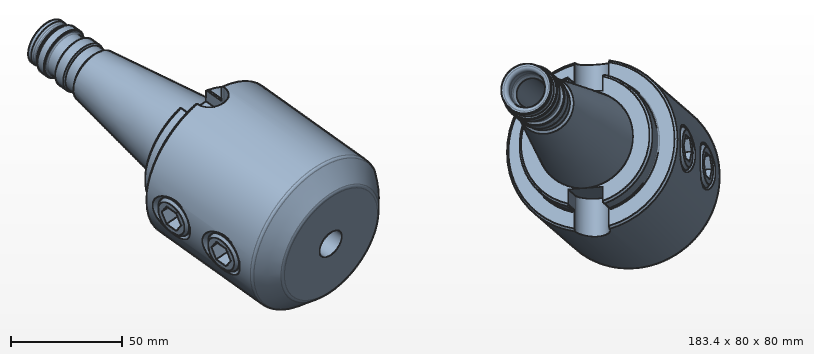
import cadquery as cq
import math

LENGTH = 183.4

LIP_RADIUS = 11.5
LIP_END = 2.0
LIP_GROOVE_RADIUS = 11.0
LIP_GROOVE_FLOOR_START = 3.0
LIP_GROOVE_FLOOR_END = 4.0
LIP_GROOVE_END = 5.5
COLLAR_RADIUS = 12.7
FRONT_COLLAR_START = 6.8
FRONT_COLLAR_END = 11.5
WAIST_RADIUS = 11.0
NOSE_FILLET = 0.5
REAR_COLLAR_START = 18.3
REAR_COLLAR_END = 24.5
COLLAR_CHAMFER = 0.4
NECK_RADIUS = 12.0
NECK_END = 29.9

TAPER_START = 31.0
TAPER_END = 93.5
TAPER_LARGE_RADIUS = 22.4
TAPER_SLOPE = 7 / 48
TAPER_SMALL_RADIUS = TAPER_LARGE_RADIUS - TAPER_SLOPE * (TAPER_END - TAPER_START)

FLANGE_START = 94.6
FLANGE_RADIUS = 31.2
BODY_START = 104.5
BODY_RADIUS = 40.0
EDGE_CHAMFER = 1.1
FLANGE_FILLET = 0.5
END_CHAMFER = 9.9
END_BLEND_RADIUS = 2.2

SLOT_WIDTH = 16.1
SLOT_FLOOR = TAPER_LARGE_RADIUS
SLOT_ROUND_CENTER_X = 106.0
SLOT_EDGE_CHAMFER = 0.7

FLAT_Y = 36.7
FLAT_RAMP_END = 131.9
FLAT_RAMP = BODY_RADIUS - FLAT_Y

BORE_RADIUS = 7.0
COUNTERBORE_RADIUS = 8.5
COUNTERBORE_DEPTH = 5.7
BORE_BLEND_RADIUS = 2.5
BORE_CONE_ANGLE = math.radians(30)
MOUTH_RADIUS = 2.0

SCREW_POSITIONS = (121.8, 153.9)
SCREW_RADIUS = 9.9
SCREW_LENGTH = 20.0
SCREW_CHAMFER = 1.5
COUNTERSINK_RADIUS = 12.1
COUNTERSINK_DEPTH = COUNTERSINK_RADIUS - SCREW_RADIUS
SOCKET_FLATS = 10.8
SOCKET_DEPTH = 9.2
SOCKET_TURN = 30


def revolve_about_x(profile):
    """Close an open half profile along the X axis and turn it into a solid."""
    return profile.close().revolve(360, (0, 0, 0), (1, 0, 0))


def flank_radius(run):
    """Radius of a lip groove flank of the given run, tangent to the groove floor."""
    rise = LIP_RADIUS - LIP_GROOVE_RADIUS
    return (run**2 + rise**2) / (2 * rise)


def make_blank():
    """Turned outer shape, before any milling or drilling."""
    profile = (
        cq.Workplane("XY")
        .lineTo(0, LIP_RADIUS)
        .lineTo(LIP_END, LIP_RADIUS)
        .radiusArc(
            (LIP_GROOVE_FLOOR_START, LIP_GROOVE_RADIUS),
            -flank_radius(LIP_GROOVE_FLOOR_START - LIP_END),
        )
        .lineTo(LIP_GROOVE_FLOOR_END, LIP_GROOVE_RADIUS)
        .radiusArc(
            (LIP_GROOVE_END, LIP_RADIUS),
            -flank_radius(LIP_GROOVE_END - LIP_GROOVE_FLOOR_END),
        )
        .lineTo(FRONT_COLLAR_START - NOSE_FILLET, LIP_RADIUS)
        .radiusArc((FRONT_COLLAR_START, LIP_RADIUS + NOSE_FILLET), -NOSE_FILLET)
        .lineTo(FRONT_COLLAR_START, COLLAR_RADIUS - COLLAR_CHAMFER)
        .lineTo(FRONT_COLLAR_START + COLLAR_CHAMFER, COLLAR_RADIUS)
        .lineTo(FRONT_COLLAR_END - COLLAR_CHAMFER, COLLAR_RADIUS)
        .lineTo(FRONT_COLLAR_END, COLLAR_RADIUS - COLLAR_CHAMFER)
        .lineTo(FRONT_COLLAR_END, WAIST_RADIUS + NOSE_FILLET)
        .radiusArc((FRONT_COLLAR_END + NOSE_FILLET, WAIST_RADIUS), -NOSE_FILLET)
        .lineTo(REAR_COLLAR_START - NOSE_FILLET, WAIST_RADIUS)
        .radiusArc((REAR_COLLAR_START, WAIST_RADIUS + NOSE_FILLET), -NOSE_FILLET)
        .lineTo(REAR_COLLAR_START, COLLAR_RADIUS - COLLAR_CHAMFER)
        .lineTo(REAR_COLLAR_START + COLLAR_CHAMFER, COLLAR_RADIUS)
        .lineTo(REAR_COLLAR_END - (COLLAR_RADIUS - NECK_RADIUS), COLLAR_RADIUS)
        .lineTo(REAR_COLLAR_END, NECK_RADIUS)
        .lineTo(NECK_END, NECK_RADIUS)
        .lineTo(TAPER_START, TAPER_SMALL_RADIUS)
        .lineTo(TAPER_END, TAPER_LARGE_RADIUS)
        .lineTo(FLANGE_START, TAPER_LARGE_RADIUS)
        .lineTo(FLANGE_START, FLANGE_RADIUS - EDGE_CHAMFER)
        .lineTo(FLANGE_START + EDGE_CHAMFER, FLANGE_RADIUS)
        .lineTo(BODY_START - FLANGE_FILLET, FLANGE_RADIUS)
        .radiusArc((BODY_START, FLANGE_RADIUS + FLANGE_FILLET), -FLANGE_FILLET)
        .lineTo(BODY_START, BODY_RADIUS - EDGE_CHAMFER)
        .lineTo(BODY_START + EDGE_CHAMFER, BODY_RADIUS)
    )
    chamfer_angle = math.radians(45)
    blend_run = END_BLEND_RADIUS * math.tan(chamfer_angle / 2)
    blend_step = blend_run * math.cos(chamfer_angle)
    corner_x = LENGTH - END_CHAMFER
    end_radius = BODY_RADIUS - END_CHAMFER
    profile = (
        profile
        .lineTo(corner_x - blend_run, BODY_RADIUS)
        .radiusArc((corner_x + blend_step, BODY_RADIUS - blend_step), END_BLEND_RADIUS)
        .lineTo(LENGTH - blend_step, end_radius + blend_step)
        .radiusArc((LENGTH, end_radius - blend_run), END_BLEND_RADIUS)
        .lineTo(LENGTH, 0)
    )
    return revolve_about_x(profile)


def make_bore():
    """Through bore with a rounded mouth and a counterbore blending into a conical step."""
    cone_start_x = COUNTERBORE_DEPTH + BORE_BLEND_RADIUS * math.sin(BORE_CONE_ANGLE)
    cone_start_radius = COUNTERBORE_RADIUS - BORE_BLEND_RADIUS * (1 - math.cos(BORE_CONE_ANGLE))
    cone_length = (cone_start_radius - BORE_RADIUS) / math.tan(BORE_CONE_ANGLE)
    profile = (
        cq.Workplane("XY")
        .lineTo(0, COUNTERBORE_RADIUS + MOUTH_RADIUS)
        .radiusArc((MOUTH_RADIUS, COUNTERBORE_RADIUS), -MOUTH_RADIUS)
        .lineTo(COUNTERBORE_DEPTH, COUNTERBORE_RADIUS)
        .radiusArc((cone_start_x, cone_start_radius), BORE_BLEND_RADIUS)
        .lineTo(cone_start_x + cone_length, BORE_RADIUS)
        .lineTo(LENGTH, BORE_RADIUS)
        .lineTo(LENGTH, 0)
    )
    return revolve_about_x(profile)


def make_drive_slot(side_z):
    """Round-ended slot cutter above (side_z = 1) or below (side_z = -1) the axis."""
    half_width = SLOT_WIDTH / 2
    depth = BODY_RADIUS - SLOT_FLOOR
    return (
        cq.Workplane("XY", origin=(0, 0, side_z * SLOT_FLOOR))
        .moveTo(FLANGE_START, -half_width)
        .lineTo(SLOT_ROUND_CENTER_X, -half_width)
        .threePointArc((SLOT_ROUND_CENTER_X + half_width, 0), (SLOT_ROUND_CENTER_X, half_width))
        .lineTo(FLANGE_START, half_width)
        .close()
        .extrude(side_z * depth)
    )


def make_slot_edge_chamfer(side_y, side_z):
    """Wedge that bevels one outer edge of a drive slot along the flange."""
    edge_y = SLOT_WIDTH / 2
    edge_z = math.sqrt(FLANGE_RADIUS**2 - edge_y**2)
    inner_z = edge_z - SLOT_EDGE_CHAMFER
    outer_z = edge_z + SLOT_EDGE_CHAMFER
    wedge_points = [
        (side_y * edge_y, side_z * inner_z),
        (side_y * edge_y, side_z * outer_z),
        (side_y * (edge_y + outer_z - inner_z), side_z * outer_z),
    ]
    return (
        cq.Workplane("YZ", origin=(FLANGE_START, 0, 0))
        .polyline(wedge_points)
        .close()
        .extrude(BODY_START - FLANGE_START)
    )


def make_flat():
    """Cutter for the flat on the +Y side, running to the +X end."""
    return (
        cq.Workplane("XY")
        .moveTo(FLAT_RAMP_END - FLAT_RAMP, BODY_RADIUS)
        .lineTo(FLAT_RAMP_END, FLAT_Y)
        .lineTo(LENGTH, FLAT_Y)
        .lineTo(LENGTH, BODY_RADIUS)
        .close()
        .extrude(BODY_RADIUS, both=True)
    )


def screw_plane(x):
    """Plane touching the body on the -Y side at x, with its normal pointing outward."""
    return cq.Workplane("XZ", origin=(x, -BODY_RADIUS, 0))


def make_screw_hole(x):
    """Cutter for a blind screw hole with a 45 degree countersink."""
    hole = screw_plane(x).circle(SCREW_RADIUS).extrude(-SCREW_LENGTH)
    countersink = (
        screw_plane(x)
        .circle(COUNTERSINK_RADIUS)
        .workplane(offset=-COUNTERSINK_DEPTH)
        .circle(SCREW_RADIUS)
        .loft()
    )
    return hole.union(countersink)


def make_holder():
    """Tool holder body with its bore, flat, drive slots and screw holes."""
    holder = make_blank().cut(make_bore()).cut(make_flat())
    for side_z in (1, -1):
        holder = holder.cut(make_drive_slot(side_z))
        for side_y in (1, -1):
            holder = holder.cut(make_slot_edge_chamfer(side_y, side_z))
    for x in SCREW_POSITIONS:
        holder = holder.cut(make_screw_hole(x))
    return holder


def make_screw(x):
    """Set screw with a chamfered outer end and a hexagon socket."""
    socket = (
        screw_plane(x)
        .transformed(rotate=(0, 0, SOCKET_TURN))
        .polygon(6, SOCKET_FLATS, circumscribed=True)
        .extrude(-SOCKET_DEPTH)
    )
    return (
        screw_plane(x)
        .circle(SCREW_RADIUS)
        .extrude(-SCREW_LENGTH)
        .faces("<Y")
        .chamfer(SCREW_CHAMFER)
        .cut(socket)
    )


holder = make_holder()
screws = [make_screw(x) for x in SCREW_POSITIONS]

result = cq.Compound.makeCompound([holder.val(), *[screw.val() for screw in screws]])